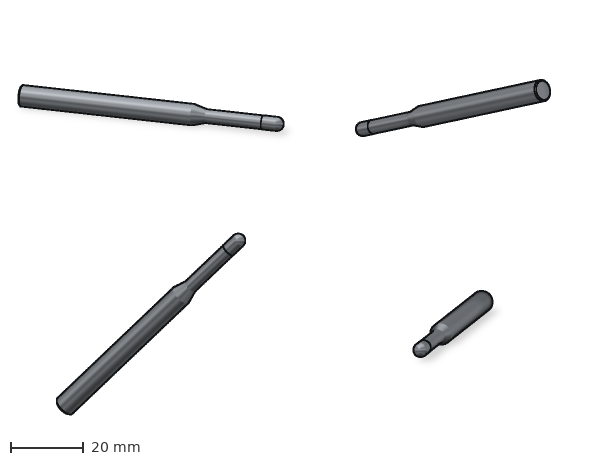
import cadquery as cq
import math

total_length = 75.0
shank_diameter = 6.0
shank_end = 49.1
shank_chamfer = 0.4
neck_start = 52.95
neck_diameter = 3.9
cutter_start = 69.0
ball_diameter = 4.0

shank_radius = shank_diameter / 2
neck_radius = neck_diameter / 2
ball_radius = ball_diameter / 2
ball_center = total_length - ball_radius
arc_offset = ball_radius * math.sqrt(0.5)

profile = (
    cq.Workplane("XY")
    .moveTo(0, 0)
    .lineTo(0, shank_radius - shank_chamfer)
    .lineTo(shank_chamfer, shank_radius)
    .lineTo(shank_end, shank_radius)
    .lineTo(neck_start, neck_radius)
    .lineTo(cutter_start, neck_radius)
    .lineTo(cutter_start, ball_radius)
    .lineTo(ball_center, ball_radius)
    .threePointArc((ball_center + arc_offset, arc_offset), (total_length, 0))
    .close()
)

result = profile.revolve(360, (0, 0, 0), (1, 0, 0))